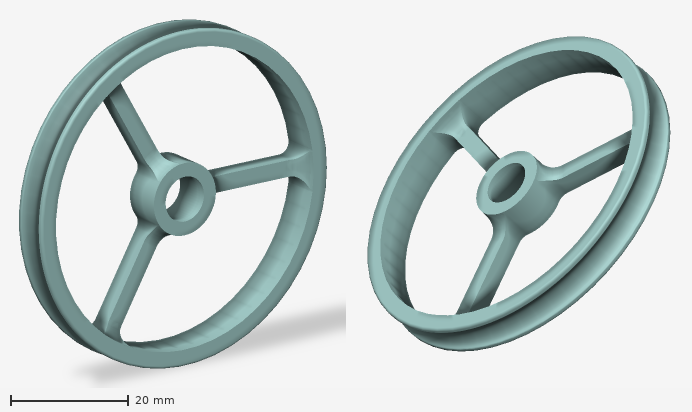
import cadquery as cq
import math

outer_radius = 30.0
width = 7.0
rim_inner_radius = 27.0
hub_radius = 6.5
bore_radius = 4.0

groove_radius = 2.5
groove_center_offset = 0.4
lip_outer_round = 0.5
lip_groove_round = 0.3

spoke_count = 3
pitch = 360.0 / spoke_count
spoke_width = 3.0
spoke_thickness = 3.5
spoke_corner_radius = 2.0
spoke_flare_radius = 3.0
recess_clearance = 0.03


def disc(radius):
    """Full-width disc about the X axis."""
    return cq.Workplane("YZ", origin=(-width / 2, 0, 0)).circle(radius).extrude(width)


def make_window():
    """Opening between two neighbouring spokes, centred on the +Y direction."""
    window = disc(rim_inner_radius).cut(disc(hub_radius))
    half_pitch = pitch / 2
    reach = 2 * outer_radius
    for angle in (-half_pitch, half_pitch):
        cutter = (
            cq.Workplane("YZ")
            .center(0, math.copysign(reach / 2 - spoke_width / 2, angle))
            .rect(2 * reach, reach)
            .extrude(width, both=True)
            .rotate((0, 0, 0), (1, 0, 0), angle)
        )
        window = window.cut(cutter)
    return window.edges("|X").fillet(spoke_corner_radius)


def make_groove():
    """Ring of circular section that cuts the rope groove."""
    center_radius = outer_radius + groove_center_offset
    return (
        cq.Workplane("XY")
        .center(0, center_radius)
        .circle(groove_radius)
        .revolve(360, (0, -center_radius), (1, -center_radius))
    )


def make_recess():
    """Ring between hub and rim that thins the spokes from the +X face.

    Its floor is rounded, so the spokes flare in thickness toward the hub and the rim.
    """
    ring = (
        cq.Workplane("YZ", origin=(spoke_thickness - width / 2, 0, 0))
        .circle(rim_inner_radius - recess_clearance)
        .circle(hub_radius + recess_clearance)
        .extrude(width - spoke_thickness)
    )
    return ring.faces("<X").edges().fillet(spoke_flare_radius)


def rim_edges(body, half_width):
    """Outermost circular edges at the given distance either side of the mid-plane."""
    tolerance = 0.005
    edges = body.edges("%CIRCLE").vals()
    return [
        edge
        for edge in edges
        if abs(edge.radius() - outer_radius) < tolerance
        and abs(abs(edge.Center().x) - half_width) < tolerance
    ]


body = disc(outer_radius).cut(make_groove())

groove_half_width = math.sqrt(groove_radius**2 - groove_center_offset**2)
body = body.newObject(rim_edges(body, width / 2)).fillet(lip_outer_round)
body = body.newObject(rim_edges(body, groove_half_width)).fillet(lip_groove_round)

body = body.cut(make_recess())
window = make_window()
for index in range(spoke_count):
    angle = (index + 0.5) * pitch
    body = body.cut(window.rotate((0, 0, 0), (1, 0, 0), angle))

result = body.cut(disc(bore_radius))